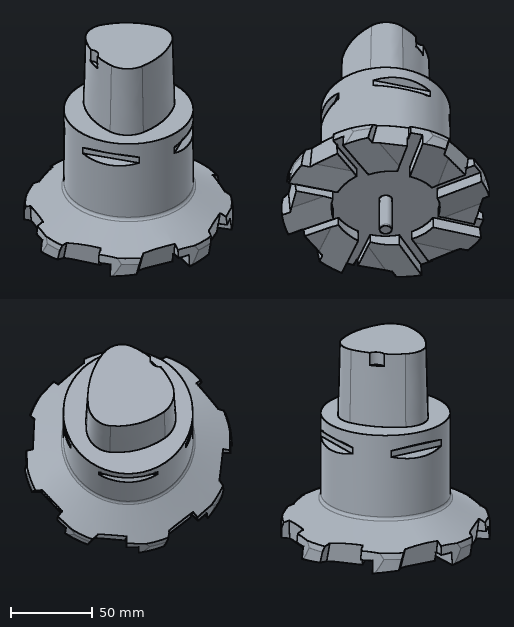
import cadquery as cq
import math


HEAD_BOTTOM = 2.4
RIM_WIDEST = 9.5
RIM_TOP = 13.2
SHOULDER = 82.0
SHANK_LENGTH = 47.9
OVERALL_HEIGHT = 147.0
SHANK_TOP = SHOULDER + SHANK_LENGTH
PIN_LENGTH_BELOW_TIPS = OVERALL_HEIGHT - SHANK_TOP

RIM_RADIUS = 64.5
CONE_EDGE_RADIUS = 63.7
CONE_ANGLE = math.radians(30)
BODY_RADIUS = 80.0 / 2
NECK_FILLET = 2.6
RECESS_RADIUS = 67.0 / 2

LOBE_COUNT = 3
LOBE_PITCH = 360 / LOBE_COUNT
FIRST_SIDE_ANGLE = 30
LOBE_CENTRE_RADIUS = 13.8
LOBE_RADIUS = 16.2
SIDE_CENTRE_RADIUS = 25.0
WIDTH_TAPER = 1 / 20
SHANK_TAPER_ANGLE = math.degrees(math.atan(WIDTH_TAPER / 2))
NOTCH_RADIUS = 5.6
NOTCH_CENTRE_Y = -27.2
NOTCH_DEPTH = 8.2

SLOT_COUNT = 4
SLOT_HEIGHT = 69.8
SLOT_FLOOR_RADIUS = 35.6
SLOT_FLOOR_HALF_WIDTH = 2.0
SLOT_MOUTH_HALF_WIDTH = 4.4

FIRST_TOOTH_ANGLE = 2.5
TOOTH_PITCHES = [45, 44, 43, 44, 45, 46, 47, 46]
FACE_POSITION = -0.7
TAIL_POSITION = 25.9
TOOTH_TAIL_ANGLE = math.radians(13)
RELIEF_ANGLE = math.radians(7)
FLAT_LEAN = math.radians(6)
FLAT_REACH = 64.1
FLAT_LENGTH = 20.6
GULLET_FLOOR_RADIUS = 58.8
GULLET_TOP = 16.0
GULLET_TURN = 4.9
TIP_POSITION = 6.8
POCKET_FRONT = -1.3
POCKET_TOP = 8.1

OUTSIDE = 88.2
BEYOND = 29.4
OVERLAP = 1.5

PIN_RADIUS = 8.0 / 2
PIN_CHAMFER_WIDTH = 0.3
PIN_CHAMFER_HEIGHT = 1.3


def cylinder(radius, bottom, top):
    return cq.Workplane("XY").workplane(offset=bottom).circle(radius).extrude(top - bottom)


def prism_along_rim(points_vz, u_start, u_end):
    """Extrude a (v, z) outline from u_start to u_end."""
    outline = cq.Workplane("XZ", origin=(0, u_start, 0)).polyline(points_vz).close()
    return outline.extrude(u_start - u_end)


def prism_along_radius(points_uz, v_start, v_end):
    """Extrude a (u, z) outline from v_start to v_end."""
    outline = cq.Workplane("YZ", origin=(v_start, 0, 0)).polyline(points_uz).close()
    return outline.extrude(v_end - v_start)


def turned(solid, angle):
    return solid.rotate((0, 0, 0), (0, 0, 1), angle)


def revolved_body():
    sweep = math.pi / 2 - CONE_ANGLE
    cone_start_radius = BODY_RADIUS + NECK_FILLET * (1 - math.cos(sweep))
    cone_start = RIM_TOP + (CONE_EDGE_RADIUS - cone_start_radius) * math.tan(CONE_ANGLE)
    fillet_top = cone_start + NECK_FILLET * math.sin(sweep)
    fillet_middle = (
        BODY_RADIUS + NECK_FILLET * (1 - math.cos(sweep / 2)),
        fillet_top - NECK_FILLET * math.sin(sweep / 2),
    )
    profile = (
        cq.Workplane("XZ")
        .moveTo(0, POCKET_TOP)
        .lineTo(RECESS_RADIUS, POCKET_TOP)
        .lineTo(RECESS_RADIUS, 0)
        .lineTo(RIM_RADIUS, 0)
        .lineTo(RIM_RADIUS, RIM_WIDEST)
        .lineTo(CONE_EDGE_RADIUS, RIM_TOP)
        .lineTo(cone_start_radius, cone_start)
        .threePointArc(fillet_middle, (BODY_RADIUS, fillet_top))
        .lineTo(BODY_RADIUS, SHOULDER)
        .lineTo(0, SHOULDER)
        .close()
    )
    return profile.revolve(360, (0, 0, 0), (0, 1, 0))


def shank():
    """Tapered prism of three lobes and three sides, all tangent arcs."""
    lobe_spacing = math.radians(LOBE_PITCH / 2)
    centre_offset = (
        LOBE_CENTRE_RADIUS * math.sin(lobe_spacing),
        LOBE_CENTRE_RADIUS * math.cos(lobe_spacing) + SIDE_CENTRE_RADIUS,
    )
    side_radius = LOBE_RADIUS + math.hypot(*centre_offset)
    side_half_angle = math.degrees(math.atan2(*centre_offset))

    def side_point(middle, turn):
        """Point of a side arc, whose centre lies across the axis from the side."""
        heading = math.radians(middle + turn)
        back = math.radians(middle)
        return (
            side_radius * math.cos(heading) - SIDE_CENTRE_RADIUS * math.cos(back),
            side_radius * math.sin(heading) - SIDE_CENTRE_RADIUS * math.sin(back),
        )

    def lobe_tip(direction):
        reach = LOBE_CENTRE_RADIUS + LOBE_RADIUS
        heading = math.radians(direction)
        return (reach * math.cos(heading), reach * math.sin(heading))

    start = side_point(FIRST_SIDE_ANGLE, -side_half_angle)
    outline = cq.Workplane("XY", origin=(0, 0, SHOULDER)).moveTo(*start)
    for side in range(LOBE_COUNT):
        middle = FIRST_SIDE_ANGLE + side * LOBE_PITCH
        next_start = side_point(middle + LOBE_PITCH, -side_half_angle)
        outline = outline.threePointArc(side_point(middle, 0), side_point(middle, side_half_angle))
        outline = outline.threePointArc(lobe_tip(middle + LOBE_PITCH / 2), next_start)
    taper = outline.close().extrude(SHANK_LENGTH, taper=SHANK_TAPER_ANGLE)
    notch = cylinder(NOTCH_RADIUS, SHANK_TOP - NOTCH_DEPTH, SHANK_TOP + OVERLAP)
    return taper.cut(notch.translate((0, NOTCH_CENTRE_Y, 0)))


def gripper_slot():
    section = [
        (SLOT_FLOOR_RADIUS, SLOT_HEIGHT - SLOT_FLOOR_HALF_WIDTH),
        (BODY_RADIUS, SLOT_HEIGHT - SLOT_MOUTH_HALF_WIDTH),
        (BODY_RADIUS, SLOT_HEIGHT + SLOT_MOUTH_HALF_WIDTH),
        (SLOT_FLOOR_RADIUS, SLOT_HEIGHT + SLOT_FLOOR_HALF_WIDTH),
    ]
    return prism_along_rim(section, -BODY_RADIUS, BODY_RADIUS)


def bottom_relief(next_pitch):
    """Space under a tooth, rising from its tip to the head bottom and on to the next tip face."""
    rise_length = HEAD_BOTTOM / math.tan(RELIEF_ANGLE)
    behind_tip = prism_along_radius(
        [
            (TIP_POSITION, 0),
            (TIP_POSITION + rise_length, HEAD_BOTTOM),
            (OUTSIDE, HEAD_BOTTOM),
            (OUTSIDE, -BEYOND),
            (TIP_POSITION, -BEYOND),
        ],
        0,
        OUTSIDE,
    )
    before_next_tip = prism_along_radius(
        [(TIP_POSITION, -BEYOND), (-OUTSIDE, -BEYOND), (-OUTSIDE, BEYOND), (TIP_POSITION, BEYOND)], 0, OUTSIDE
    )
    return behind_tip.intersect(turned(before_next_tip, next_pitch))


def tip_flat():
    """Space outside the flat behind the tip, which leans outward toward the tip."""
    lean = BEYOND * math.tan(FLAT_LEAN)
    section = [
        (FLAT_REACH, 0),
        (OUTSIDE, 0),
        (OUTSIDE, BEYOND),
        (FLAT_REACH - lean, BEYOND),
    ]
    return prism_along_rim(section, FACE_POSITION - OVERLAP, FLAT_LENGTH)


def tip_pocket():
    """Recess under the front of the tooth, set back to the tip face."""
    section = [
        (POCKET_FRONT, 0),
        (TIP_POSITION, 0),
        (TIP_POSITION, POCKET_TOP),
        (POCKET_FRONT, POCKET_TOP),
    ]
    return prism_along_radius(section, 0, OUTSIDE)


def gullet(pitch):
    """Space in front of a tooth, back to the tail of the next tooth clockwise."""
    floor_lean = math.tan(RELIEF_ANGLE)
    floor_low = GULLET_FLOOR_RADIUS - GULLET_TOP * floor_lean
    floor_high = floor_low + BEYOND * floor_lean
    outside_floor = prism_along_rim(
        [(floor_low, 0), (OUTSIDE, 0), (OUTSIDE, BEYOND), (floor_high, BEYOND)], -OUTSIDE, OUTSIDE
    ).rotate((GULLET_FLOOR_RADIUS, 0, 0), (GULLET_FLOOR_RADIUS, 0, 1), -GULLET_TURN)
    before_face = prism_along_radius(
        [(FACE_POSITION, 0), (-OUTSIDE, 0), (-OUTSIDE, BEYOND), (FACE_POSITION, BEYOND)], 0, OUTSIDE
    )
    tail_lean = math.tan(TOOTH_TAIL_ANGLE)
    tail_low = TAIL_POSITION - GULLET_TOP * tail_lean
    tail_high = tail_low + BEYOND * tail_lean
    behind_tail = prism_along_radius(
        [(tail_low, 0), (OUTSIDE, 0), (OUTSIDE, BEYOND), (tail_high, BEYOND)], 0, OUTSIDE
    )
    return outside_floor.intersect(before_face).intersect(turned(behind_tail, -pitch))


def centre_pin():
    end = -PIN_LENGTH_BELOW_TIPS
    profile = (
        cq.Workplane("XZ")
        .moveTo(0, end)
        .lineTo(PIN_RADIUS - PIN_CHAMFER_WIDTH, end)
        .lineTo(PIN_RADIUS, end + PIN_CHAMFER_HEIGHT)
        .lineTo(PIN_RADIUS, POCKET_TOP)
        .lineTo(0, POCKET_TOP)
        .close()
    )
    return profile.revolve(360, (0, 0, 0), (0, 1, 0))


body = revolved_body()
for slot in range(SLOT_COUNT):
    body = body.cut(turned(gripper_slot(), (slot + 0.5) * 360 / SLOT_COUNT))

tooth_angle = FIRST_TOOTH_ANGLE
for tooth, pitch_after in enumerate(TOOTH_PITCHES):
    pitch_before = TOOTH_PITCHES[tooth - 1]
    for space in (bottom_relief(pitch_after), gullet(pitch_before), tip_pocket(), tip_flat()):
        body = body.cut(turned(space, tooth_angle))
    tooth_angle += pitch_after

result = body.union(shank()).union(centre_pin())